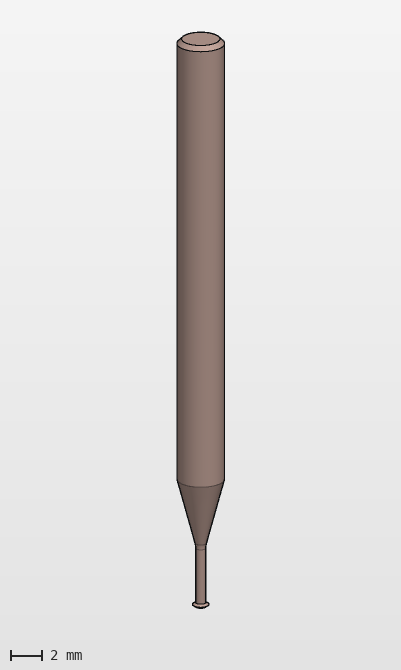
import cadquery as cq
import math

total_length = 38.0
shank_diameter = 3.0
neck_diameter = 0.65
head_diameter = 1.05

rim_height = 0.15
head_height = 0.277
neck_top = 3.9
taper_top = 8.55

shank_chamfer = 0.3
blend_radius = 1.33

shank_radius = shank_diameter / 2
neck_radius = neck_diameter / 2
head_radius = head_diameter / 2


def blend_point(angle):
    """Point on the neck blend arc where its tangent leans by angle from the axis."""
    return (
        neck_radius + blend_radius * (1 - math.cos(angle)),
        neck_top + blend_radius * math.sin(angle),
    )


centre_offset = neck_radius + blend_radius - shank_radius
centre_rise = taper_top - neck_top
centre_distance = math.hypot(centre_offset, centre_rise)
taper_angle = math.atan2(centre_rise, centre_offset) - math.acos(blend_radius / centre_distance)

result = (
    cq.Workplane("XZ")
    .lineTo(neck_radius, 0)
    .lineTo(head_radius, rim_height)
    .lineTo(neck_radius, head_height)
    .lineTo(neck_radius, neck_top)
    .threePointArc(blend_point(taper_angle / 2), blend_point(taper_angle))
    .lineTo(shank_radius, taper_top)
    .lineTo(shank_radius, total_length - shank_chamfer)
    .lineTo(shank_radius - shank_chamfer, total_length)
    .lineTo(0, total_length)
    .close()
    .revolve(360, (0, 0, 0), (0, 1, 0))
)